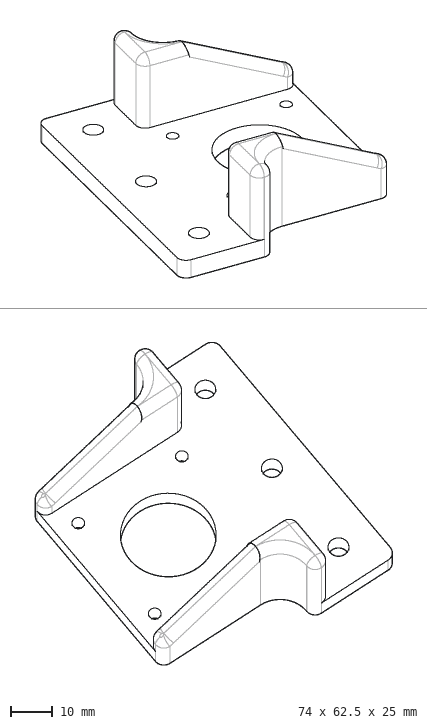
import cadquery as cq
import math

width = 74.0
depth = 62.5
plate_thickness = 5.0

total_height = 25.0
wall_thickness = 5.0
wall_outer_x = 26.5
wall_front_y = 20.0
wall_rear_height = 10.0
slope_length = 30.0

rounding_gap = 0.015
corner_radius = wall_thickness / 2
rounding = corner_radius - rounding_gap

bore_diameter = 23.0
bore_y = 41.0
screw_diameter = 3.0
screw_spacing = 31.0
mount_count = 3
mount_diameter = 5.0
mount_spacing = 27.0
mount_y = 10.0

half_width = width / 2
wall_inner_x = wall_outer_x - wall_thickness
foot_rear_y = wall_front_y + wall_thickness
foot_end_x = half_width - corner_radius
sweep_radius = foot_end_x - wall_outer_x
sweep_end_y = foot_rear_y + sweep_radius
sweep_mid_offset = sweep_radius * (1 - math.sqrt(0.5))
slope_start_y = depth - slope_length
slope_angle = math.atan2(total_height - wall_rear_height, slope_length)
miter_base_y = slope_start_y + total_height * math.tan(slope_angle / 2)


def make_plate():
    """Plate that is wide at the front and narrow between the walls."""
    foot_middle_y = wall_front_y + corner_radius
    front = (
        cq.Workplane("XY")
        .rect(width, foot_middle_y)
        .extrude(plate_thickness)
        .translate((0, foot_middle_y / 2, 0))
        .edges("|Z and <Y")
        .fillet(corner_radius)
    )
    rear_length = depth - wall_front_y
    rear = (
        cq.Workplane("XY")
        .rect(wall_inner_x + wall_outer_x, rear_length)
        .extrude(plate_thickness)
        .translate((0, wall_front_y + rear_length / 2, 0))
    )
    return front.union(rear)


def make_foot():
    """L-shaped flat-topped wall on the +X side, cut off at the miter plane."""
    foot = (
        cq.Workplane("XY")
        .moveTo(wall_inner_x, wall_front_y)
        .lineTo(half_width, wall_front_y)
        .lineTo(half_width, foot_rear_y)
        .lineTo(foot_end_x, foot_rear_y)
        .threePointArc(
            (wall_outer_x + sweep_mid_offset, foot_rear_y + sweep_mid_offset),
            (wall_outer_x, sweep_end_y),
        )
        .lineTo(wall_outer_x, depth)
        .lineTo(wall_inner_x, depth)
        .close()
        .extrude(total_height)
    )
    foot = foot.edges("|Z and (<Y or >X)").fillet(rounding)
    foot = foot.faces(">Z").edges("not >Y").fillet(rounding)
    front_region = (
        cq.Workplane("YZ")
        .moveTo(0, 0)
        .lineTo(miter_base_y, 0)
        .lineTo(slope_start_y, total_height)
        .lineTo(0, total_height)
        .close()
        .extrude(half_width)
    )
    return foot.intersect(front_region)


def make_sloped_wall():
    """Straight wall on the +X side with a sloped top, from the miter plane to the rear."""
    wall = (
        cq.Workplane("YZ", origin=(wall_inner_x, 0, 0))
        .moveTo(miter_base_y, 0)
        .lineTo(slope_start_y, total_height)
        .lineTo(depth, wall_rear_height)
        .lineTo(depth, 0)
        .close()
        .extrude(wall_thickness)
    )
    wall = wall.edges("|Z and >Y").fillet(rounding)
    return wall.faces(">Z").edges("not <Y").fillet(rounding)


def cut_holes(body):
    """Bore, four screw holes around it and a row of three mounting holes."""
    bore = cq.Workplane("XY").center(0, bore_y).circle(bore_diameter / 2)
    screws = cq.Workplane("XY").center(0, bore_y).rect(screw_spacing, screw_spacing, forConstruction=True)
    mounts = cq.Workplane("XY").center(0, mount_y).rarray(mount_spacing, 0.75, mount_count, 1)
    return (
        body.cut(bore.extrude(plate_thickness))
        .cut(screws.vertices().circle(screw_diameter / 2).extrude(plate_thickness))
        .cut(mounts.circle(mount_diameter / 2).extrude(plate_thickness))
    )


wall = make_foot().union(make_sloped_wall())
result = cut_holes(make_plate().union(wall).union(wall.mirror("YZ")))